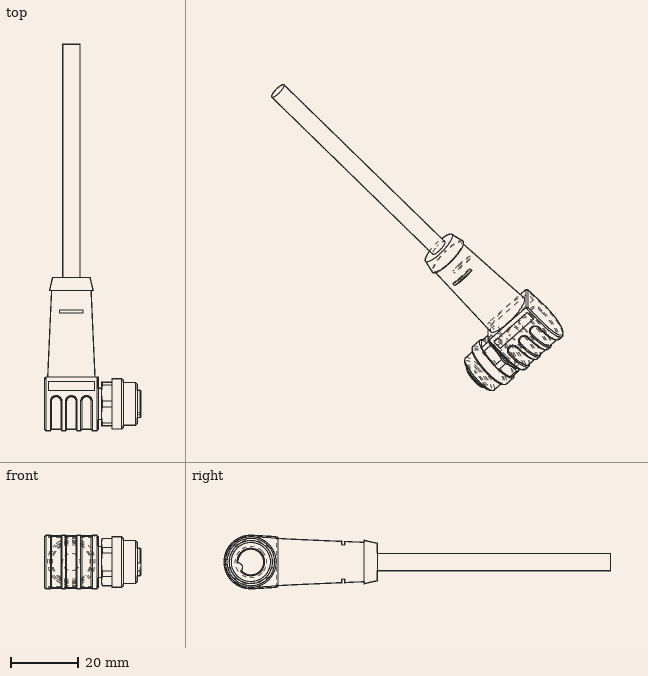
import cadquery as cq
import math


head_radius = 7.985
head_half_width = 8.0
head_back = 8.0
flank_angle = math.radians(3.4)
head_edge_chamfer = 0.45
back_lip_length = 0.65
back_lip_drop = 0.25

groove_count = 3
groove_pitch = 4.5
groove_width = 2.8
groove_depth = 0.4
groove_edge_bevel = 0.33
groove_end_y = 2.15
groove_rim_margin = 0.01

label_length = 13.6
label_width = 2.75
label_center_y = 5.3
label_depth = 0.1

sleeve_base_radius = 7.05
sleeve_tip_radius = 5.9
collar_start = 33.6
collar_end = 37.5
collar_base_radius = 6.5
collar_tip_radius = 5.6
notch_center = 27.4
notch_width = 0.8
notch_floor = 5.1
cable_radius = 5.2 / 2
overall_length = 114.67
cable_end = overall_length - head_radius

neck_radius = 9.3 / 2
hex_sides = 6
hex_start = 8.9
hex_across_flats = 13.0
hex_corner_radius = 7.05
hex_face_radius = 6.3
hex_chamfer_length = 0.3
flange_start = 12.0
flange_end = 15.4
flange_radius = 15.0 / 2
flange_chamfer = 0.45
coupling_end = 19.6
coupling_radius = 12.8 / 2
coupling_chamfer = 0.6
insert_radius = 4.1
insert_chamfer = 0.3
keyway_radius = 1.3
keyway_angle = math.radians(23)
overall_width = 28.7
insert_end = overall_width - head_half_width


def head_block(inset):
    """Head shape with its round front and flanks moved inwards by inset."""
    radius = head_radius - inset
    tangent_y = radius * math.sin(flank_angle)
    tangent_z = radius * math.cos(flank_angle)
    lip_y = head_back - back_lip_length
    lip_z = tangent_z - (lip_y - tangent_y) * math.tan(flank_angle)
    back_z = lip_z - back_lip_drop
    return (
        cq.Workplane("YZ", origin=(-head_half_width, 0, 0))
        .moveTo(head_back, -back_z)
        .lineTo(head_back, back_z)
        .lineTo(lip_y, lip_z)
        .lineTo(tangent_y, tangent_z)
        .threePointArc((-radius, 0), (tangent_y, -tangent_z))
        .lineTo(lip_y, -lip_z)
        .close()
        .extrude(2 * head_half_width)
    )


def groove_column(center_x):
    """Upright column with a round end, open towards the front of the head."""
    half = groove_width / 2
    front_y = -2 * head_radius
    arc_y = groove_end_y - half
    return (
        cq.Workplane("XY", origin=(center_x, 0, -head_radius))
        .moveTo(-half, front_y)
        .lineTo(-half, arc_y)
        .threePointArc((0, groove_end_y), (half, arc_y))
        .lineTo(half, front_y)
        .close()
        .extrude(2 * head_radius)
    )


def is_groove_rim(edge, center_x):
    """True for an edge on the head surface that borders the groove at center_x."""
    middle = edge.positionAt(0.5)
    height = abs(middle.z)
    if middle.y < head_radius * math.sin(flank_angle):
        reach = math.hypot(middle.y, height)
    else:
        reach = middle.y * math.sin(flank_angle) + height * math.cos(flank_angle)
    on_surface = abs(reach - head_radius) < groove_depth / 2
    return on_surface and abs(middle.x - center_x) < groove_pitch / 2 - groove_rim_margin


def label_panel():
    """Shallow rectangular skin removed from both flanks."""
    skin = head_block(0).cut(head_block(label_depth))
    patch = cq.Workplane("XY", origin=(0, label_center_y, 0)).box(label_length, label_width, 2 * head_radius)
    return skin.intersect(patch)


def make_head():
    """Head with bevelled ends, grip grooves and label panels."""
    outer = head_block(0)
    head = outer.faces("<X").chamfer(head_edge_chamfer)
    head = head.faces(">X").edges("not(>Y)").chamfer(head_edge_chamfer)
    shell = outer.cut(head_block(groove_depth))
    for index in range(groove_count):
        center_x = (index - (groove_count - 1) / 2) * groove_pitch
        head = head.cut(shell.intersect(groove_column(center_x)))
        rim = [edge for edge in head.edges().vals() if is_groove_rim(edge, center_x)]
        head = head.newObject(rim).chamfer(groove_edge_bevel)
    return head.cut(label_panel())


def make_cable_side():
    """Tapered strain relief with a collar, and the cable leaving it."""
    body = (
        cq.Workplane("XY")
        .lineTo(sleeve_base_radius, 0)
        .lineTo(sleeve_base_radius, head_back)
        .lineTo(sleeve_tip_radius, collar_start)
        .lineTo(collar_base_radius, collar_start)
        .lineTo(collar_tip_radius, collar_end)
        .lineTo(cable_radius, collar_end)
        .lineTo(cable_radius, cable_end)
        .lineTo(0, cable_end)
        .close()
        .revolve(360, (0, 0, 0), (0, 1, 0))
    )
    notch_size = 2 * sleeve_base_radius
    notch = cq.Workplane("XY").box(notch_size, notch_width, notch_size)
    notch_offset = notch_floor + notch_size / 2
    for side in (-1, 1):
        body = body.cut(notch.translate((0, notch_center, side * notch_offset)))
    return body


def x_cylinder(start, end, radius):
    """Cylinder on the plug axis between two X positions."""
    return cq.Workplane("YZ", origin=(start, 0, 0)).circle(radius).extrude(end - start)


def make_hex():
    """Hexagon with rounded corners and a turned lead-in on its free face."""
    hexagon = (
        cq.Workplane("YZ", origin=(hex_start, 0, 0))
        .transformed(rotate=(0, 0, 180 / hex_sides))
        .polygon(hex_sides, hex_across_flats / math.cos(math.pi / hex_sides))
        .extrude(flange_start - hex_start)
    )
    turned_blank = (
        cq.Workplane("XY")
        .moveTo(hex_start, 0)
        .lineTo(hex_start, hex_face_radius)
        .lineTo(hex_start + hex_chamfer_length, hex_corner_radius)
        .lineTo(flange_start, hex_corner_radius)
        .lineTo(flange_start, 0)
        .close()
        .revolve(360, (0, 0, 0), (1, 0, 0))
    )
    return hexagon.intersect(turned_blank)


def make_insert():
    """Contact carrier standing out of the coupling, with a round keyway on its rim."""
    insert = x_cylinder(coupling_end, insert_end, insert_radius).faces(">X").chamfer(insert_chamfer)
    keyway_y = -insert_radius * math.cos(keyway_angle)
    keyway_z = -insert_radius * math.sin(keyway_angle)
    keyway = x_cylinder(coupling_end, insert_end, keyway_radius).translate((0, keyway_y, keyway_z))
    return insert.cut(keyway)


def make_plug():
    """Neck, hexagon, flange, coupling and insert stacked along the plug axis."""
    neck = x_cylinder(0, hex_start, neck_radius)
    flange = x_cylinder(flange_start, flange_end, flange_radius).faces(">X").chamfer(flange_chamfer)
    coupling = x_cylinder(flange_end, coupling_end, coupling_radius).faces(">X").chamfer(coupling_chamfer)
    return neck.union(make_hex()).union(flange).union(coupling).union(make_insert())


result = make_head().union(make_cable_side()).union(make_plug())